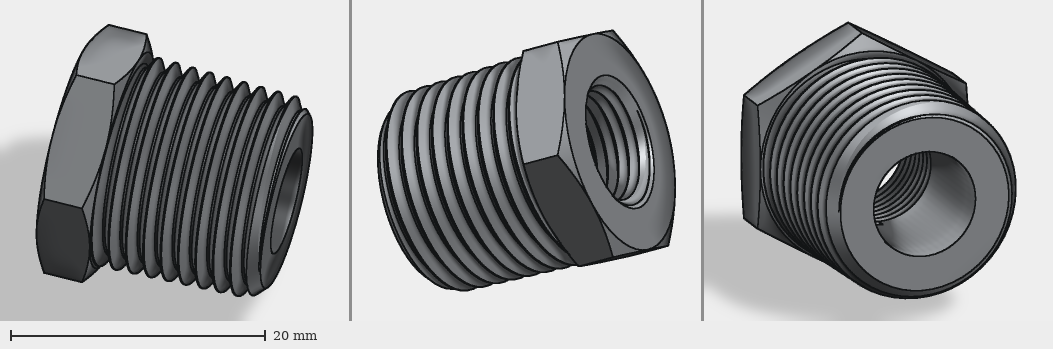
import cadquery as cq
import math


INCH = 25.4

total_length = 17.86
across_flats = 17.46
across_corners = across_flats / math.cos(math.radians(30))
head_length = 4.37
head_chamfer_angle = 25

flank_slope = math.tan(math.radians(30))
taper_slope = 1 / 32
taper_angle = math.degrees(math.atan(taper_slope))
crest_clearance = 0.03

male_pitch = INCH / 18
male_crest_radius = 8.53
male_depth = 0.97
male_root_flat = 0.19
male_groove_start = 2.70
end_chamfer_radius = 7.05

female_pitch = INCH / 27
female_crest_radius = 4.49
female_depth = 0.72
female_root_flat = 0.05
female_groove_start = -1.35
female_thread_length = 7.2
bore_radius = female_crest_radius - female_thread_length * taper_slope
mouth_radius = 5.385


def one_turn(pitch, radius, start):
    """One turn of right-handed helix about Z on the thread taper, narrowing upwards."""
    slant = math.cos(math.radians(taper_angle))
    return cq.Wire.makeHelix(
        pitch / slant, pitch / slant, radius, center=cq.Vector(0, 0, start), angle=-taper_angle
    )


def groove_cutter(pitch, start, end, root_radius, root_flat, open_radius):
    """Helical cutter of trapezoidal section about +X, from start on the -Z side to at least end.

    The radii are those of the first section, and each turn has its own faces.
    """
    half_root = root_flat / 2
    half_open = half_root + abs(open_radius - root_radius) * flank_slope
    section = [
        (root_radius, -half_root),
        (root_radius, half_root),
        (open_radius, half_open),
        (open_radius, -half_open),
    ]
    turns = math.ceil((end - start) / pitch)
    faces = []
    for count in range(turns):
        advance = count * pitch
        edges = [
            one_turn(pitch, radius - advance * taper_slope, start + shift + advance)
            for radius, shift in section
        ]
        faces += [cq.Face.makeRuledSurface(edges[i - 1], edges[i]) for i in range(len(edges))]
        if count == 0:
            faces.append(cap([edge.startPoint() for edge in edges]))
    faces.append(cap([edge.endPoint() for edge in edges]))
    cutter = cq.Workplane(cq.Solid.makeSolid(cq.Shell.makeShell(faces)).fix())
    return cutter.rotate((0, 0, 0), (0, 1, 0), 90)


def cap(corners):
    """Flat face closing an end of the cutter."""
    return cq.Face.makeFromWires(cq.Wire.makePolygon(corners, close=True))


def revolve_about_x(points):
    """Solid of revolution about X from (x, radius) points."""
    return cq.Workplane("XY").polyline(points).close().revolve(360, (0, 0, 0), (1, 0, 0))


def hex_head():
    """Hexagon with corners on +Z and -Z, its corners chamfered on both faces."""
    prism = cq.Workplane("YZ").polygon(6, across_corners).extrude(head_length)
    prism = prism.rotate((0, 0, 0), (1, 0, 0), 90)
    face_radius = across_flats / 2
    corner_radius = across_corners / 2
    chamfer = (corner_radius - face_radius) * math.tan(math.radians(head_chamfer_angle))
    envelope = revolve_about_x([
        (0, 0),
        (0, face_radius),
        (chamfer, corner_radius),
        (head_length - chamfer, corner_radius),
        (head_length, face_radius),
        (head_length, 0),
    ])
    return prism.intersect(envelope)


def threaded_shank():
    """Tapered shank with a 45 degree end chamfer and the male thread cut along it."""
    shank_length = total_length - head_length
    chamfer = (male_crest_radius - shank_length * taper_slope - end_chamfer_radius) / (1 - taper_slope)
    chamfer_start = shank_length - chamfer
    blank = revolve_about_x([
        (head_length, 0),
        (head_length, male_crest_radius),
        (head_length + chamfer_start, male_crest_radius - chamfer_start * taper_slope),
        (total_length, end_chamfer_radius),
        (total_length, 0),
    ])
    root_radius = male_crest_radius - male_depth + (head_length - male_groove_start) * taper_slope
    cutter = groove_cutter(
        male_pitch,
        male_groove_start,
        total_length + male_pitch,
        root_radius,
        male_root_flat,
        root_radius + male_depth + crest_clearance,
    )
    return blank.cut(cutter)


def bore():
    """Through bore: 45 degree mouth, tapered crest cone, then a plain cylinder."""
    mouth_depth = (mouth_radius - female_crest_radius) / (1 - taper_slope)
    return revolve_about_x([
        (0, 0),
        (0, mouth_radius),
        (mouth_depth, female_crest_radius - mouth_depth * taper_slope),
        (female_thread_length, bore_radius),
        (total_length, bore_radius),
        (total_length, 0),
    ])


def female_groove():
    """Cutter for the female thread, from outside the head face to the plain bore."""
    root_radius = female_crest_radius + female_depth - female_groove_start * taper_slope
    return groove_cutter(
        female_pitch,
        female_groove_start,
        female_thread_length,
        root_radius,
        female_root_flat,
        root_radius - female_depth - crest_clearance,
    )


result = hex_head().union(threaded_shank()).cut(bore()).cut(female_groove())